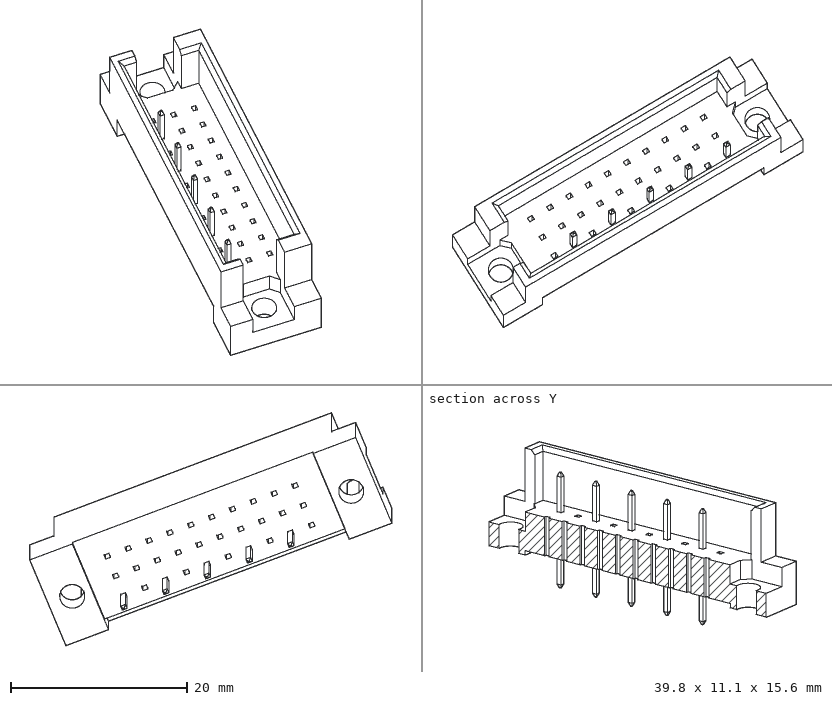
import cadquery as cq

LENGTH = 39.8
WIDTH = 11.1
HEIGHT = 11.62
FLOOR_Z = 5.2
EAR_LENGTH = 2.95

FOOT_LENGTH = 5.2
STANDOFF = 0.5
REBATE_TOP_Z = 2.9
REBATE_DEPTH = 1.2

SLOT_FRONT_Y = -2.83
SLOT_BACK_Y = 2.23
SLOT_FLOOR_Z = 2.9
SLOT_LENGTH = 5.2
SLOT_CHAMFER = 0.95
HOLE_INSET = 2.85
HOLE_DIAMETER = 2.83

WALL = 1.2
FRONT_CAVITY_INSET = 4.38
BACK_CAVITY_INSET = 5.37
RIM_CHAMFER = 0.5

PITCH = 2.55
COLUMNS = 10
ROWS = 3
GRID_SHIFT = 0.15
PIN_LENGTH = 0.6
PIN_WIDTH = 0.5
PIN_TOP_Z = 9.95
PIN_BOTTOM_Z = -3.98
TIP_LENGTH = 0.48
TIP_SIZE = 0.15


def block(x_range, y_range, z_range):
    """Box spanning the given (low, high) limits on each axis."""
    (x0, x1), (y0, y1), (z0, z1) = x_range, y_range, z_range
    return cq.Workplane("XY").box(x1 - x0, y1 - y0, z1 - z0, centered=False).translate((x0, y0, z0))


def column_x(column):
    return GRID_SHIFT + (column - (COLUMNS - 1) / 2) * PITCH


def row_y(row):
    return (row - (ROWS - 1) / 2) * PITCH


def make_body():
    """Stepped profile with a standoff gap underneath, extruded across the width."""
    half = LENGTH / 2
    shroud = half - EAR_LENGTH
    foot = half - FOOT_LENGTH
    outline = [
        (-half, 0), (-foot, 0), (-foot, STANDOFF), (foot, STANDOFF), (foot, 0), (half, 0),
        (half, FLOOR_Z), (shroud, FLOOR_Z), (shroud, HEIGHT),
        (-shroud, HEIGHT), (-shroud, FLOOR_Z), (-half, FLOOR_Z),
    ]
    return cq.Workplane("XZ").polyline(outline).close().extrude(WIDTH / 2, both=True)


def make_front_rebate():
    foot = LENGTH / 2 - FOOT_LENGTH
    front = -WIDTH / 2
    return block((-foot, foot), (front, front + REBATE_DEPTH), (STANDOFF, REBATE_TOP_Z))


def make_cavity(inset):
    """Cavity of full inner width with a sloping lead-in around its rim."""
    length = LENGTH - 2 * inset
    width = WIDTH - 2 * WALL
    pocket = cq.Workplane("XY").workplane(offset=FLOOR_Z).rect(length, width).extrude(HEIGHT - FLOOR_Z)
    lead_in = (
        cq.Workplane("XY").workplane(offset=HEIGHT - RIM_CHAMFER).rect(length, width)
        .workplane(offset=RIM_CHAMFER).rect(length + 2 * RIM_CHAMFER, width + 2 * RIM_CHAMFER)
        .loft(ruled=True)
    )
    return pocket.union(lead_in)


def make_shroud_opening():
    """Long front half and short back half of the cavity, joined by the gap through both ends."""
    half = LENGTH / 2
    z_range = (FLOOR_Z, HEIGHT)
    front_zone = block((-half, half), (-WIDTH / 2, SLOT_FRONT_Y), z_range)
    back_zone = block((-half, half), (SLOT_BACK_Y, WIDTH / 2), z_range)
    end_gap = block((-half, half), (SLOT_FRONT_Y, SLOT_BACK_Y), z_range)
    front_cavity = make_cavity(FRONT_CAVITY_INSET).intersect(front_zone)
    back_cavity = make_cavity(BACK_CAVITY_INSET).intersect(back_zone)
    return end_gap.union(front_cavity).union(back_cavity)


def make_end_slot(side):
    """Slot in one ear (side is -1 or +1) with chamfered inner corners and a mounting hole."""
    outer = LENGTH / 2
    inner = outer - SLOT_LENGTH
    slot_y = (SLOT_FRONT_Y + SLOT_BACK_Y) / 2
    slot = (
        block((inner, outer), (SLOT_FRONT_Y, SLOT_BACK_Y), (SLOT_FLOOR_Z, FLOOR_Z))
        .edges("|Z and <X").chamfer(SLOT_CHAMFER)
    )
    hole = cq.Workplane("XY").center(outer - HOLE_INSET, slot_y).circle(HOLE_DIAMETER / 2).extrude(FLOOR_Z)
    cut = slot.union(hole)
    return cut if side > 0 else cut.mirror("YZ")


def make_contact_holes():
    centres = [(column_x(column), row_y(row)) for column in range(COLUMNS) for row in range(ROWS)]
    return cq.Workplane("XY").pushPoints(centres).rect(PIN_LENGTH, PIN_WIDTH).extrude(FLOOR_Z)


def make_housing():
    housing = make_body().cut(make_front_rebate()).cut(make_shroud_opening())
    for side in (-1, 1):
        housing = housing.cut(make_end_slot(side))
    return housing.cut(make_contact_holes())


def make_pin(x, y):
    """Rectangular pin tapering to a small flat at both ends."""
    shank_bottom = PIN_BOTTOM_Z + TIP_LENGTH
    shank_top = PIN_TOP_Z - TIP_LENGTH
    pin = (
        cq.Workplane("XY").workplane(offset=shank_bottom).rect(PIN_LENGTH, PIN_WIDTH)
        .extrude(shank_top - shank_bottom)
    )
    for shank_end, direction in ((shank_bottom, -1), (shank_top, 1)):
        tip = (
            cq.Workplane("XY").workplane(offset=shank_end).rect(PIN_LENGTH, PIN_WIDTH)
            .workplane(offset=direction * TIP_LENGTH).rect(TIP_SIZE, TIP_SIZE)
            .loft(ruled=True)
        )
        pin = pin.union(tip)
    return pin.translate((x, y, 0))


housing = make_housing()

pins = [make_pin(column_x(column), row_y(0)) for column in range(1, COLUMNS, 2)]

result = cq.Compound.makeCompound([housing.val(), *[pin.val() for pin in pins]])